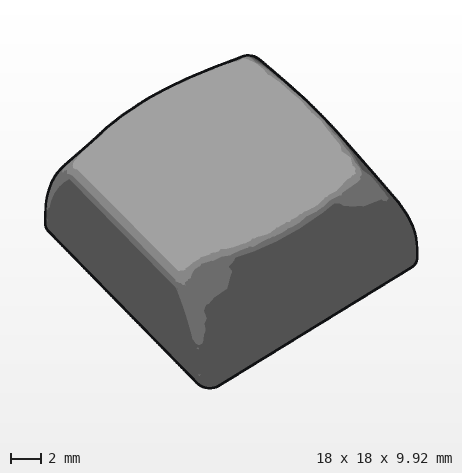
import cadquery as cq
import math

width = 18.0
height = 9.92
half = width / 2
skirt_height = 0.99
edge_round = 1.0
front_round = 2.0

side_middle_radius = 17.64
back_middle_radius = 14.4
corner_radius = 10.44
wall_sections = 6

strip_edge = -6.23
slope = math.tan(math.radians(4.7))
dish_depth = 0.4
dish_half_width = 6.84
dish_back = 6.84
dish_steps = 12
cut_margin = 1.8


def inset(rise, radius):
    """Inward travel of a parabolic wall curve with the given radius at its foot."""
    return rise**2 / (2 * radius)


def wall_outline(rise):
    """Level outline with a flat front and bowed sides and back."""
    corner = half - inset(rise, corner_radius)
    side = half - inset(rise, side_middle_radius)
    back = half - inset(rise, back_middle_radius)
    z = skirt_height + rise
    front_left = cq.Vector(-corner, -half, z)
    front_right = cq.Vector(corner, -half, z)
    back_left = cq.Vector(-corner, corner, z)
    back_right = cq.Vector(corner, corner, z)
    edges = [
        cq.Edge.makeLine(front_left, front_right),
        cq.Edge.makeSpline([front_right, cq.Vector(side, 0, z), back_right]),
        cq.Edge.makeSpline([back_right, cq.Vector(0, back, z), back_left]),
        cq.Edge.makeSpline([back_left, cq.Vector(-side, 0, z), front_left]),
    ]
    return cq.Wire.assembleEdges(edges)


def make_walls():
    """Curved walls above the skirt, with the long front edge rounded."""
    full_rise = height - skirt_height
    rises = [full_rise * i / wall_sections for i in range(wall_sections + 1)]
    walls = cq.Workplane(cq.Solid.makeLoft([wall_outline(rise) for rise in rises]))
    front_profile = (
        cq.Workplane("YZ")
        .moveTo(-half, skirt_height)
        .lineTo(-half, height - front_round)
        .radiusArc((-half + front_round, height), front_round)
        .lineTo(half, height)
        .lineTo(half, skirt_height)
        .close()
        .extrude(half, both=True)
    )
    return walls.intersect(front_profile)


def dish_point(u, v):
    """Point on the dish; u spans the width from -1 to 1, v runs from front to back rim."""
    x = u * dish_half_width
    y = strip_edge + v * (dish_back - strip_edge)
    sag = dish_depth * (1 - u**2) * 4 * v * (1 - v)
    return cq.Vector(x, y, height - slope * (y - strip_edge) - sag)


def make_dish_cutter():
    """Everything above the dish surface, reaching past the walls."""
    u_limit = (half + cut_margin) / dish_half_width
    v_limit = (half + cut_margin - strip_edge) / (dish_back - strip_edge)
    grid = [
        [
            dish_point(u_limit * (2 * i / dish_steps - 1), v_limit * j / dish_steps)
            for j in range(dish_steps + 1)
        ]
        for i in range(dish_steps + 1)
    ]
    surface = cq.Face.makeSplineApprox(grid, tol=0.001)
    return cq.Workplane(cq.Solid.extrudeLinear(surface, cq.Vector(0, 0, height)))


walls = make_walls().cut(make_dish_cutter())

rim_and_corners = (
    walls.edges()
    .filter(lambda edge: edge.BoundingBox().zmin > skirt_height + 0.18 or edge.BoundingBox().zlen > 0.18)
    .filter(lambda edge: abs(edge.Center().x) > 0.18 or edge.Center().y > 0)
)
skirt = (
    cq.Workplane("XY")
    .box(width, width, skirt_height, centered=(True, True, False))
    .edges("|Z")
    .fillet(edge_round)
)
result = skirt.union(rim_and_corners.fillet(edge_round))